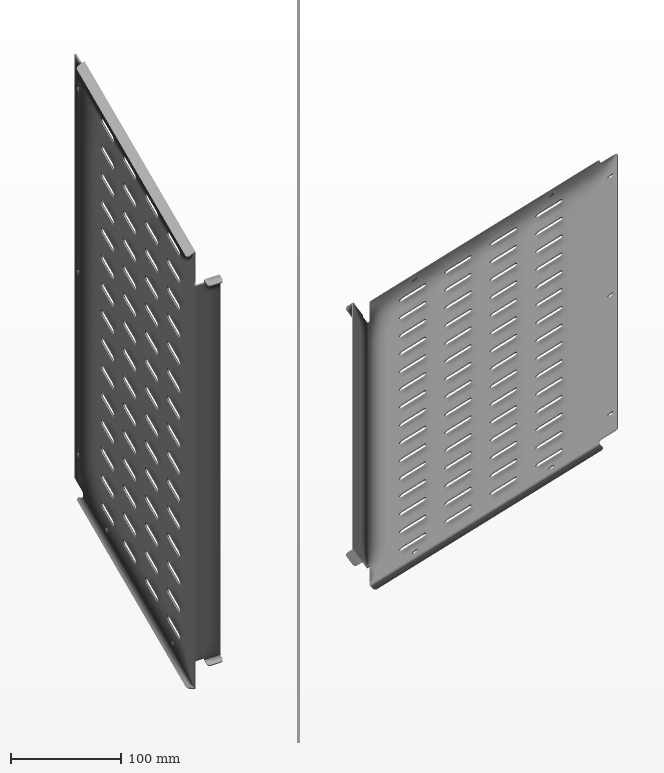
import cadquery as cq
import math

thickness = 1.5
overall_width = 283.5
overall_depth = 31.66
overall_height = 597.2
half_height = overall_height / 2

left_tab_half_height = half_height - 8.5
left_tab_width = 20.0
left_tab_corner = 2.5
left_tab_root = 2.5
panel_right = 272.0

lip_flat = thickness
lip_slope = math.radians(30)
lip_corner = 2.0

flange_depth = 22.9
flange_outer_x = 275.75
flange_half_height = 256.5
ear_half_height = 260.0
ear_width = 15.5
ear_corner = 3.0

slot_length = 30.0
slot_height = 8.0
slot_columns = 4
slot_rows = 15
slot_pitch_x = 50.0
slot_pitch_z = 37.5
first_slot_x = 75.0
hole_diameter = 6.5
side_hole_x = 7.5
side_hole_pitch = 250.0
edge_hole_x = (72.5, 222.5)
edge_hole_z = half_height - 12.5


def box(x_range, y_range, z_range):
    """Axis-aligned box given by its limits along each axis."""
    size = [high - low for low, high in (x_range, y_range, z_range)]
    corner = (x_range[0], y_range[0], z_range[0])
    return cq.Workplane("XY").box(*size, centered=False).translate(corner)


def make_panel():
    """Flat sheet: full height in the middle, with a shorter tab along the left edge."""
    sheet_y = (-thickness, 0)
    tab = box((0, panel_right), sheet_y, (-left_tab_half_height, left_tab_half_height))
    body = box((left_tab_width, panel_right), sheet_y, (-half_height, half_height))
    panel = tab.union(body)
    panel = panel.edges("|Y and <X").fillet(left_tab_corner)
    for side in (-1, 1):
        root = (left_tab_width, -thickness / 2, side * left_tab_half_height)
        panel = panel.edges(cq.selectors.NearestToPointSelector(root)).fillet(left_tab_root)
    return panel


def make_top_lip():
    """Lip that runs forward from the top edge and then slopes down, with clipped tip corners."""
    lip_depth = overall_depth - flange_depth
    outer_drop = (lip_depth - lip_flat) * math.tan(lip_slope)
    outer_tip = (-lip_depth, half_height - outer_drop)
    inner_tip = (
        outer_tip[0] + thickness * math.sin(lip_slope),
        outer_tip[1] - thickness * math.cos(lip_slope),
    )
    inner_bend_y = -lip_flat + thickness * math.tan(lip_slope / 2)
    lip = (
        cq.Workplane("YZ", origin=(left_tab_width, 0, 0))
        .moveTo(0, half_height)
        .lineTo(-lip_flat, half_height)
        .lineTo(*outer_tip)
        .lineTo(*inner_tip)
        .lineTo(inner_bend_y, half_height - thickness)
        .lineTo(0, half_height - thickness)
        .close()
        .extrude(panel_right - left_tab_width)
    )
    tip_middle = ((outer_tip[0] + inner_tip[0]) / 2, (outer_tip[1] + inner_tip[1]) / 2)
    for x in (left_tab_width, panel_right):
        corner_edge = cq.selectors.NearestToPointSelector((x, *tip_middle))
        lip = lip.edges(corner_edge).chamfer(lip_corner)
    return lip


def make_flange():
    """Strip beyond the right edge of the panel, turned toward +Y."""
    inner_x = flange_outer_x - thickness
    z_range = (-flange_half_height, flange_half_height)
    strip = box((panel_right, flange_outer_x), (-thickness, 0), z_range)
    return strip.union(box((inner_x, flange_outer_x), (-thickness, flange_depth), z_range))


def make_top_ear():
    """Ear folded outward (+X) from the upper end of the flange, with rounded free corners."""
    inner_x = flange_outer_x - thickness
    y_range = (flange_depth - ear_width, flange_depth)
    neck = box((inner_x, flange_outer_x), y_range, (flange_half_height, ear_half_height))
    ear = box((inner_x, overall_width), y_range, (ear_half_height - thickness, ear_half_height))
    return neck.union(ear.edges("|Z and >X").fillet(ear_corner))


def cut_openings(body):
    """Cut the slot grid and the round mounting holes through the panel."""
    slot_points = [
        (first_slot_x + column * slot_pitch_x, (row - (slot_rows - 1) / 2) * slot_pitch_z)
        for column in range(slot_columns)
        for row in range(slot_rows)
    ]
    hole_points = [(side_hole_x, row * side_hole_pitch) for row in (-1, 0, 1)]
    hole_points += [(x, side * edge_hole_z) for x in edge_hole_x for side in (-1, 1)]
    front = cq.Workplane("XZ")
    slots = front.pushPoints(slot_points).slot2D(slot_length, slot_height).extrude(thickness)
    holes = front.pushPoints(hole_points).circle(hole_diameter / 2).extrude(thickness)
    return body.cut(slots).cut(holes)


def add_mirrored(body, upper_piece):
    """Join a piece at the upper end and its mirror image at the lower end."""
    return body.union(upper_piece).union(upper_piece.mirror("XY"))


result = cut_openings(make_panel()).union(make_flange())
result = add_mirrored(result, make_top_lip())
result = add_mirrored(result, make_top_ear())